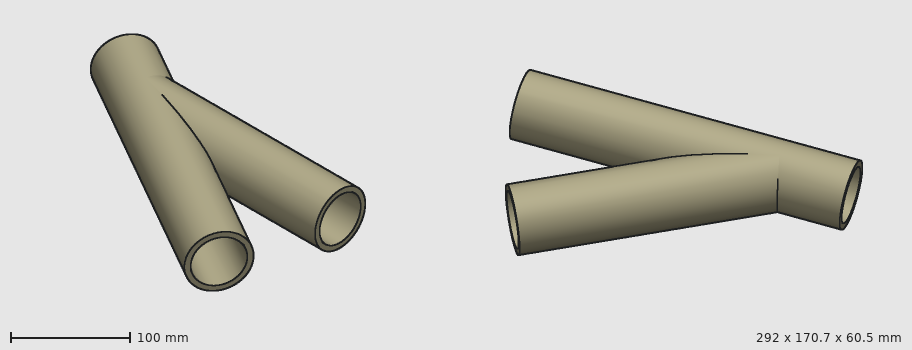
import cadquery as cq

outer_diameter = 60.5
bore_diameter = 49.5
run_length = 292.0
junction_distance = 63.5
branch_length = 228.5
branch_angle = 30.0

run_plane = cq.Plane(origin=(-junction_distance, 0, 0), xDir=(0, 1, 0), normal=(1, 0, 0))
branch_plane = cq.Plane(origin=(0, 0, 0), xDir=(0, 1, 0), normal=(1, 0, 0)).rotated((0, branch_angle, 0))


def round_bars(diameter):
    """Solid run and branch of one diameter, joined together."""
    run = cq.Workplane(run_plane).circle(diameter / 2).extrude(run_length)
    branch = cq.Workplane(branch_plane).circle(diameter / 2).extrude(branch_length)
    return run.union(branch)


result = round_bars(outer_diameter).cut(round_bars(bore_diameter))